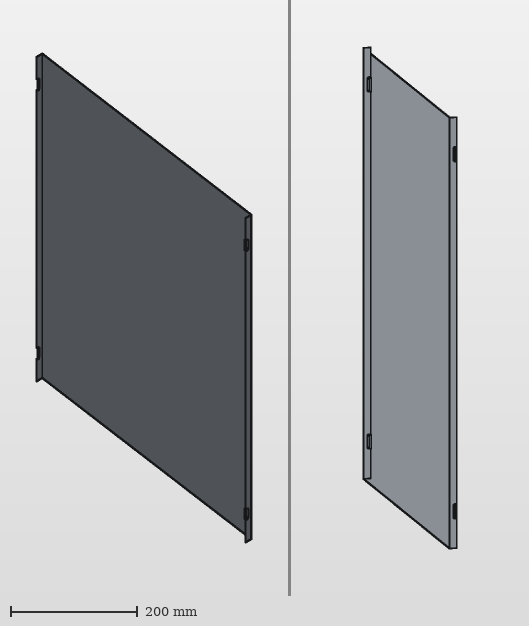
import cadquery as cq

WIDTH = 500.0
DEPTH = 12.5
HEIGHT = 700.0
SHEET = 1.0

TAB_LENGTH = 22.0
TAB_DEPTH = 6.0
TAB_INSET = 60.0
TAB_OFFSET = 2.5
TAB_RAMP = 3.0
SLIT = 1.0
CORNER_RADIUS = 4.0

HALF_WIDTH = WIDTH / 2
FREE_EDGE = -DEPTH / 2
PANEL_BACK = DEPTH / 2
TAB_ROOT = FREE_EDGE + TAB_DEPTH
TAB_LEVELS = (TAB_INSET - HEIGHT / 2, HEIGHT / 2 - TAB_INSET)


def make_channel():
    """Flat panel with a flange along each long side, as one U section."""
    panel_front = PANEL_BACK - SHEET
    inner = HALF_WIDTH - SHEET
    return (
        cq.Workplane("XY")
        .workplane(offset=-HEIGHT / 2)
        .moveTo(-HALF_WIDTH, PANEL_BACK)
        .lineTo(HALF_WIDTH, PANEL_BACK)
        .lineTo(HALF_WIDTH, FREE_EDGE)
        .lineTo(inner, FREE_EDGE)
        .lineTo(inner, panel_front)
        .lineTo(-inner, panel_front)
        .lineTo(-inner, FREE_EDGE)
        .lineTo(-HALF_WIDTH, FREE_EDGE)
        .close()
        .extrude(HEIGHT)
    )


def make_tab_blank(side, level, clearance):
    """Block around one tab, grown by a clearance, with its two root corners rounded."""
    reach = SHEET + TAB_OFFSET
    blank = (
        cq.Workplane("XY")
        .box(reach, TAB_DEPTH, TAB_LENGTH + 2 * clearance)
        .edges("|X and >Y")
        .fillet(CORNER_RADIUS)
    )
    return blank.translate((side * (HALF_WIDTH - reach / 2), FREE_EDGE + TAB_DEPTH / 2, level))


def make_tab(side, level):
    """Strip of flange that steps inward and then runs on to the free edge."""
    outer = side * HALF_WIDTH
    inner = side * (HALF_WIDTH - SHEET)
    shift = -side * TAB_OFFSET
    step_end = TAB_ROOT - TAB_RAMP
    strip = (
        cq.Workplane("XY")
        .workplane(offset=level - TAB_LENGTH / 2)
        .moveTo(outer, TAB_ROOT)
        .lineTo(outer + shift, step_end)
        .lineTo(outer + shift, FREE_EDGE)
        .lineTo(inner + shift, FREE_EDGE)
        .lineTo(inner + shift, step_end)
        .lineTo(inner, TAB_ROOT)
        .close()
        .extrude(TAB_LENGTH)
    )
    return strip.intersect(make_tab_blank(side, level, 0))


result = make_channel()
for side in (-1, 1):
    for level in TAB_LEVELS:
        result = result.cut(make_tab_blank(side, level, SLIT))
        result = result.union(make_tab(side, level))